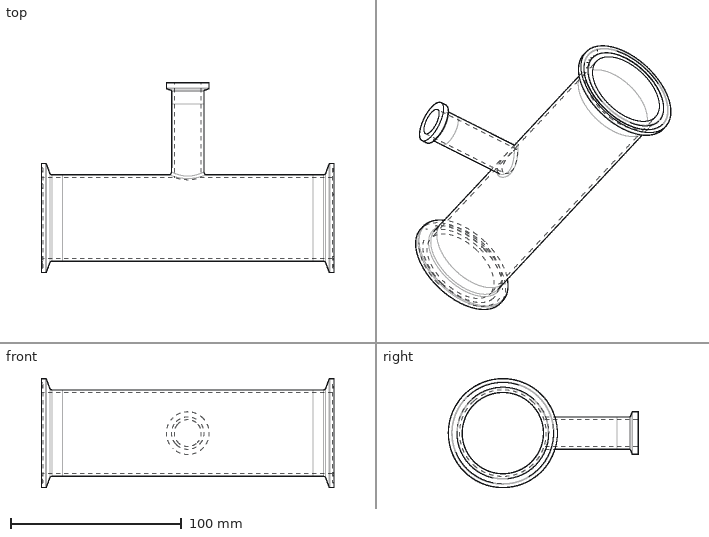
import cadquery as cq
import math

run_length = 171.5
run_outer_radius = 50.7 / 2
run_bore_radius = 47.5 / 2
run_flange_radius = 64.0 / 2
run_rim_width = 3.0
run_rim_round = 0.7
run_neck_round = 1.2

overall_width = 111.3
branch_reach = overall_width - run_flange_radius
branch_outer_radius = 19.0 / 2
branch_bore_radius = 15.8 / 2
branch_flange_radius = 25.0 / 2
branch_rim_width = 3.6
branch_rim_round = 0.5
branch_neck_round = 0.7
branch_weld_round = 1.6

ferrule_length = 12.5
clamp_angle = 20.0

groove_radius = 28.3
groove_width = 3.0
groove_depth = 1.0
groove_lip_round = 0.3


def circles_at(radius, height):
    """Selector for the circular edges of about this radius, centred on Z at this height."""
    margin = 0.02
    reach = radius + margin
    return cq.selectors.BoxSelector(
        (-reach, -reach, height - margin),
        (reach, reach, height + margin),
        boundingbox=True,
    )


def ferrule(flange_radius, tube_radius, bore_radius, rim_width, rim_round, neck_round):
    """Hollow clamp ferrule along Z: end face at z = 0, rim, cone, then plain tube."""
    cone_length = (flange_radius - tube_radius) * math.tan(math.radians(clamp_angle))
    neck_height = rim_width + cone_length
    body = (
        cq.Workplane("XZ")
        .moveTo(bore_radius, 0)
        .lineTo(flange_radius, 0)
        .lineTo(flange_radius, rim_width)
        .lineTo(tube_radius, neck_height)
        .lineTo(tube_radius, ferrule_length)
        .lineTo(bore_radius, ferrule_length)
        .close()
        .revolve(360, (0, 0, 0), (0, 1, 0))
    )
    body = body.edges(circles_at(flange_radius, rim_width)).fillet(rim_round)
    return body.edges(circles_at(tube_radius, neck_height)).fillet(neck_round)


def cut_gasket_groove(body):
    """Cut the arc-section ring into the end face at z = 0 and round its two lips."""
    inner_radius = groove_radius - groove_width / 2
    outer_radius = groove_radius + groove_width / 2
    ring = (
        cq.Workplane("XZ")
        .moveTo(inner_radius, 0)
        .threePointArc((groove_radius, groove_depth), (outer_radius, 0))
        .close()
        .revolve(360, (0, 0, 0), (0, 1, 0))
    )
    lips = circles_at(outer_radius, 0) - circles_at(run_bore_radius, 0)
    return body.cut(ring).edges(lips).fillet(groove_lip_round)


def welded_tubes():
    """Run and branch tubes between the ferrules, with the weld rounded and both bores open."""
    half_run = run_length / 2 - ferrule_length
    branch_end = branch_reach - ferrule_length
    run = cq.Workplane("YZ").circle(run_outer_radius).extrude(half_run, both=True)
    branch = cq.Workplane("XZ").circle(branch_outer_radius).extrude(-branch_end)
    tubes = run.union(branch)

    weld_edge = cq.selectors.BoxSelector(
        (-branch_flange_radius, run_bore_radius / 2, -branch_flange_radius),
        (branch_flange_radius, run_flange_radius, branch_flange_radius),
    )
    tubes = tubes.edges(weld_edge).fillet(branch_weld_round)

    run_bore = cq.Workplane("YZ").circle(run_bore_radius).extrude(half_run, both=True)
    branch_bore = cq.Workplane("XZ").circle(branch_bore_radius).extrude(-branch_end)
    return tubes.cut(run_bore).cut(branch_bore)


run_ferrule = cut_gasket_groove(
    ferrule(
        run_flange_radius,
        run_outer_radius,
        run_bore_radius,
        run_rim_width,
        run_rim_round,
        run_neck_round,
    )
)
left_ferrule = run_ferrule.rotate((0, 0, 0), (0, 1, 0), 90).translate((-run_length / 2, 0, 0))
right_ferrule = left_ferrule.mirror("YZ")

branch_ferrule = ferrule(
    branch_flange_radius,
    branch_outer_radius,
    branch_bore_radius,
    branch_rim_width,
    branch_rim_round,
    branch_neck_round,
)
branch_ferrule = branch_ferrule.rotate((0, 0, 0), (1, 0, 0), 90).translate((0, branch_reach, 0))

result = welded_tubes().union(left_ferrule).union(right_ferrule).union(branch_ferrule)